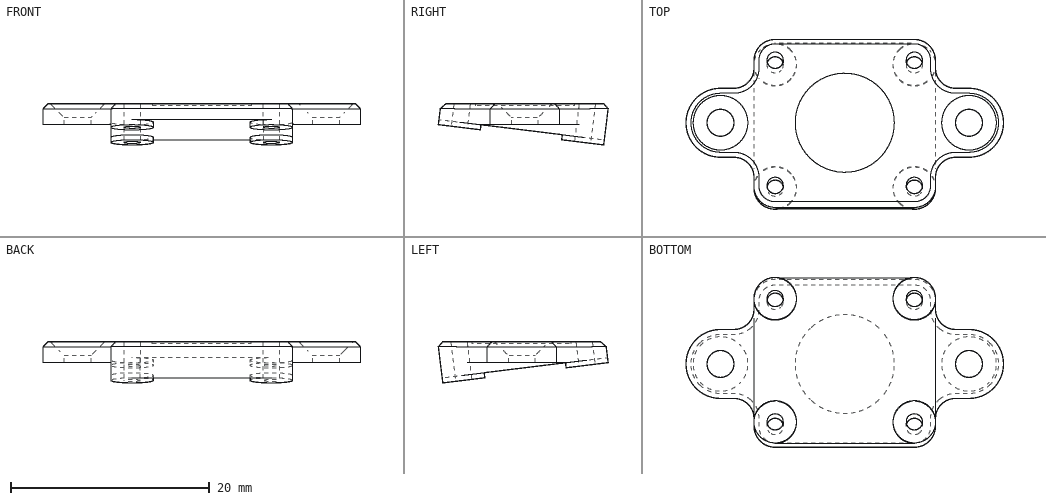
import cadquery as cq
import math

tilt_angle = 7.0
hole_spacing_x = 14.0
hole_spacing_y = 12.5
pad_diameter = 4.3
pin_hole_diameter = 1.63
plate_depth = 2.65
pad_height = 0.5
plate_length = hole_spacing_x + pad_diameter
plate_width = hole_spacing_y + pad_diameter

total_length = 32.0
ear_radius = 3.5
ear_thickness = 2.1
ear_blend_radius = 2.0
ear_center_x = total_length / 2 - ear_radius
screw_hole_diameter = 2.7
countersink_diameter = 5.5
countersink_angle = 90.0

edge_chamfer = 0.5
recess_diameter = 10.0
recess_depth = 0.2

overshoot = 3.2


def tilt(shape):
    """Lean a shape about the X axis so that its +Y side sinks."""
    return shape.rotate((0, 0, 0), (1, 0, 0), -tilt_angle)


def upright_block(depth):
    """Upright block reaching from the given depth to far above the part."""
    return (
        cq.Workplane("XY")
        .workplane(offset=-depth)
        .rect(2 * total_length, 2 * total_length)
        .extrude(depth + total_length)
    )


def pin_positions(depth):
    """Workplane holding the four pin positions at a depth below the top."""
    return (
        cq.Workplane("XY")
        .workplane(offset=-depth)
        .rect(hole_spacing_x, hole_spacing_y, forConstruction=True)
        .vertices()
    )


def make_plate():
    """Rounded plate with a round pad under each corner, leaned as one."""
    plate = (
        cq.Workplane("XY")
        .workplane(offset=-plate_depth)
        .rect(plate_length, plate_width)
        .extrude(plate_depth + overshoot)
        .edges("|Z")
        .fillet(pad_diameter / 2)
    )
    bottom_depth = plate_depth + pad_height
    pads = pin_positions(bottom_depth).circle(pad_diameter / 2).extrude(bottom_depth)
    return tilt(plate.union(pads))


def make_ear():
    """Round-ended ear on the +X side, flaring into the plate wall."""
    wall_x = plate_length / 2
    blend_x = wall_x + ear_blend_radius
    blend_y = ear_radius + ear_blend_radius
    blend_offset = ear_blend_radius * math.sqrt(0.5)
    mid_x = blend_x - blend_offset
    mid_y = blend_y - blend_offset
    root_x = hole_spacing_x / 2
    ear = (
        cq.Workplane("XY")
        .moveTo(root_x, blend_y)
        .lineTo(wall_x, blend_y)
        .threePointArc((mid_x, mid_y), (blend_x, ear_radius))
        .lineTo(ear_center_x, ear_radius)
        .threePointArc((total_length / 2, 0), (ear_center_x, -ear_radius))
        .lineTo(blend_x, -ear_radius)
        .threePointArc((mid_x, -mid_y), (wall_x, -blend_y))
        .lineTo(root_x, -blend_y)
        .close()
        .extrude(-ear_thickness)
    )
    return ear.intersect(tilt(upright_block(plate_depth)))


ear = make_ear()
level_plate = make_plate().cut(upright_block(0))
body = level_plate.union(ear).union(ear.mirror("YZ")).clean()

body = body.faces(">Z").edges().chamfer(edge_chamfer)

body = (
    body.faces(">Z")
    .workplane(origin=(0, 0, 0))
    .pushPoints([(-ear_center_x, 0), (ear_center_x, 0)])
    .cskHole(screw_hole_diameter, countersink_diameter, countersink_angle)
)

pin_holes = (
    pin_positions(plate_depth + overshoot)
    .circle(pin_hole_diameter / 2)
    .extrude(plate_depth + 2 * overshoot)
)
body = body.cut(tilt(pin_holes))

recess = cq.Workplane("XY").circle(recess_diameter / 2).extrude(-recess_depth)
result = body.cut(recess).clean()